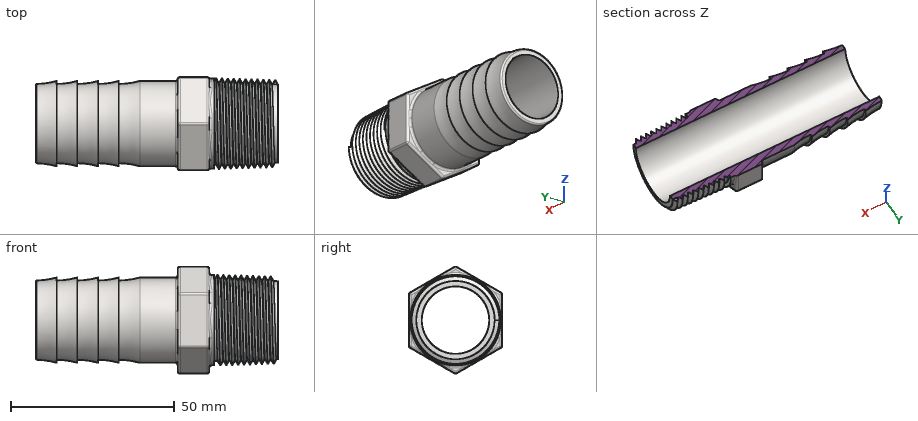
import cadquery as cq
import math


overall_length = 74.17
bore_diameter = 20.57

shank_diameter = 26.16
barb_root_diameter = 24.38
barb_pitch = 6.35
barb_count = 5
tip_fillet = 0.508

hex_start = 43.37
hex_length = 9.73
hex_across_flats = 28.575
collar_diameter = 27.74
collar_end = 54.6
edge_fillet = 0.762

thread_pitch = 25.4 / 14
thread_turns = 10
thread_last_crest = 73.27
thread_taper = 1 / 32
thread_flank_angle = 30.0
root_radius_at_end = 11.97
thread_height = 1.35
crest_half_width = 0.03
thread_sink = 0.05

shank_radius = shank_diameter / 2
barb_root_radius = barb_root_diameter / 2
collar_radius = collar_diameter / 2
hex_end = hex_start + hex_length
thread_start = thread_last_crest - thread_turns * thread_pitch
taper_angle = math.degrees(math.atan(thread_taper))

overlap = 1.0
tolerance = 0.001


def root_radius(x):
    """Radius of the tapered thread root at position x."""
    return root_radius_at_end + (overall_length - x) * thread_taper


def make_hose_shank():
    """Barbed hose shank: each barb flares along an arc that leaves its root parallel to the axis."""
    barb_rise = shank_radius - barb_root_radius
    arc_radius = (barb_pitch**2 + barb_rise**2) / (2 * barb_rise)
    half_run = barb_pitch / 2
    half_rise = arc_radius - math.sqrt(arc_radius**2 - half_run**2)

    profile = cq.Workplane("XY").moveTo(0, 0)
    for index in range(barb_count):
        x = index * barb_pitch
        profile = profile.lineTo(x, barb_root_radius)
        profile = profile.threePointArc(
            (x + half_run, barb_root_radius + half_rise),
            (x + barb_pitch, shank_radius),
        )
    profile = profile.lineTo(hex_start + overlap, shank_radius).lineTo(hex_start + overlap, 0).close()
    shank = profile.revolve(360, (0, 0, 0), (1, 0, 0))
    return shank.faces("<X").edges().fillet(tip_fillet)


def make_hexagon():
    """Hexagon with corners on +Z and -Z, rounded along every edge."""
    across_corners = hex_across_flats / math.cos(math.radians(30))
    hexagon = (
        cq.Workplane("YZ")
        .workplane(offset=hex_start)
        .transformed(rotate=(0, 0, 90))
        .polygon(6, across_corners)
        .extrude(hex_length)
    )
    return hexagon.edges().fillet(edge_fillet)


def blend_into_hexagon(body, face_x, radius):
    """Fillet the inside corner where a cylinder of this radius meets the rounded hexagon end at face_x."""

    def is_corner_edge(edge):
        near_face = abs(edge.Center().x - face_x) < edge_fillet / 2
        on_cylinder = all(
            abs(math.hypot(point.y, point.z) - radius) < tolerance
            for point in (edge.startPoint(), edge.positionAt(0.5), edge.endPoint())
        )
        return near_face and on_cylinder

    corner = [edge for edge in body.edges().vals() if is_corner_edge(edge)]
    return body.newObject(corner).fillet(edge_fillet)


def make_threaded_core():
    """Collar behind the hexagon followed by the tapered thread root."""
    return (
        cq.Workplane("XY")
        .moveTo(hex_end - overlap, 0)
        .lineTo(hex_end - overlap, collar_radius)
        .lineTo(collar_end, collar_radius)
        .lineTo(collar_end, root_radius(collar_end))
        .lineTo(overall_length, root_radius_at_end)
        .lineTo(overall_length, 0)
        .close()
        .revolve(360, (0, 0, 0), (1, 0, 0))
    )


def make_thread_ridge():
    """Right-hand conical thread ridge that starts inside the collar and ends on the +Y side."""
    base_radius = root_radius(thread_start) - thread_sink
    crest_radius = root_radius(thread_start) + thread_height
    flank_run = (crest_radius - base_radius) * math.tan(math.radians(thread_flank_angle))
    base_half_width = crest_half_width + flank_run

    corners = [
        (-base_half_width, base_radius),
        (-crest_half_width, crest_radius),
        (crest_half_width, crest_radius),
        (base_half_width, base_radius),
    ]
    helices = []
    for axial, radius in corners:
        local_radius = radius - axial * thread_taper
        helix = cq.Wire.makeHelix(
            thread_pitch,
            thread_turns * thread_pitch,
            local_radius,
            center=cq.Vector(0, 0, axial),
            angle=-taper_angle,
        )
        helices.append(helix)

    faces = []
    for index, helix in enumerate(helices):
        next_helix = helices[(index + 1) % len(helices)]
        faces.append(cq.Face.makeRuledSurface(helix, next_helix))
    for at_start in (True, False):
        points = [helix.startPoint() if at_start else helix.endPoint() for helix in helices]
        faces.append(cq.Face.makeFromWires(cq.Wire.makePolygon(points, close=True)))
    ridge = cq.Solid.makeSolid(cq.Shell.makeShell(faces))

    along_x = ridge.rotate(cq.Vector(0, 0, 0), cq.Vector(1, 1, 1), 120)
    return cq.Workplane("XY").newObject([along_x.translate(cq.Vector(thread_start, 0, 0))])


body = make_hexagon().union(make_threaded_core())
body = blend_into_hexagon(body, hex_end, collar_radius)
body = body.union(make_hose_shank())
body = blend_into_hexagon(body, hex_start, shank_radius)
body = body.union(make_thread_ridge())
bore = cq.Workplane("YZ").circle(bore_diameter / 2).extrude(overall_length)
result = body.cut(bore)